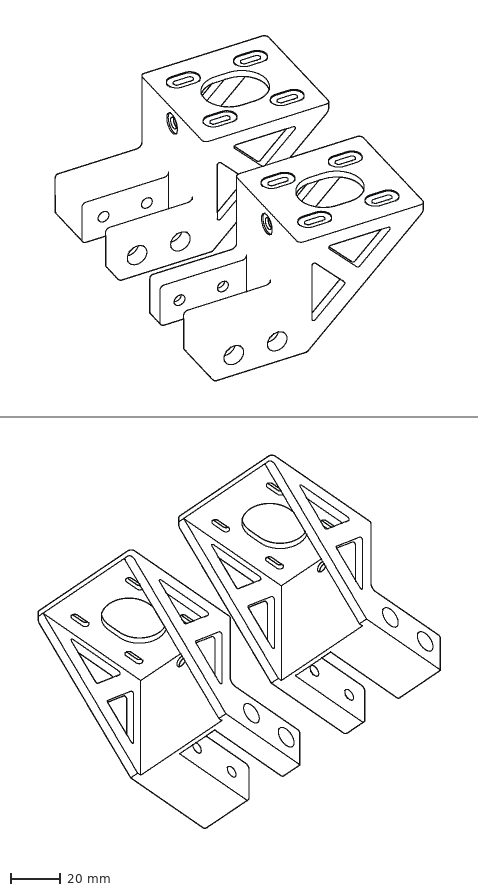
import cadquery as cq
import math

pair_width = 134.2
bracket_width = 54.2
height = 55.3
depth = 98.2

arm_length = 40.0
box_depth = depth - arm_length
plate_thickness = 3.0
front_wall = 2.0
side_wall = 4.0
window_margin = 6.0
slope_foot_y = 3.8

arm_height = 20.0
thick_arm = 24.2
arm_gap = 20.0
edge_radius = 2.0

band_width = 8.0
strut_shift = 0.7
window_radius = 1.0

slot_travel = 6.0
screw_slot_width = 3.0
head_slot_width = 8.5
head_slot_depth = 0.5
shaft_slot_width = 22.4
screw_spacing = 31.0

screw_diameter = 5.0
head_diameter = 9.0
arm_head_depth = 7.0
arm_hole_distances = (arm_length / 4, 3 * arm_length / 4)
arm_hole_z = arm_height / 2
thin_arm_hole_shift = 1.0
wall_hole_drop = 7.4
wall_head_depth = 0.7

mid_x = bracket_width / 2
gap_end = thick_arm + arm_gap
slope_angle = math.atan2(height - plate_thickness, box_depth - slope_foot_y)


def box(x0, x1, y0, y1, z0, z1):
    return cq.Workplane("XY").box(x1 - x0, y1 - y0, z1 - z0, centered=False).translate((x0, y0, z0))


def cylinder_x(x0, x1, y, z, diameter):
    return cq.Workplane("YZ", origin=(x0, y, z)).circle(diameter / 2).extrude(x1 - x0)


def cylinder_y(y0, y1, x, z, diameter):
    return cq.Workplane("XZ", origin=(x, y0, z)).circle(diameter / 2).extrude(y0 - y1)


def slot_z(x, y, width, z0, z1):
    """Slot elongated along Y, cut from z0 up to z1."""
    plane = cq.Workplane("XY", origin=(x, y, z0))
    return plane.slot2D(slot_travel + width, width, 90).extrude(z1 - z0)


def prism_x(points, x0, x1):
    """Extrude a (Y, Z) polygon from x0 to x1."""
    return cq.Workplane("YZ", origin=(x0, 0, 0)).polyline(points).close().extrude(x1 - x0)


def slope_y(z, inset):
    """Y on the line parallel to the sloped back, moved inward by inset."""
    return slope_foot_y + z / math.tan(slope_angle) - inset / math.sin(slope_angle)


def slope_z(y, inset):
    """Z on the line parallel to the sloped back, moved inward by inset."""
    return (y - slope_foot_y) * math.tan(slope_angle) + inset / math.cos(slope_angle)


def box_around(y0, y1, z0, z1):
    """Selector for edges centred in a Y and Z range, over the full width."""
    return cq.selectors.BoxSelector((-1.3, y0, z0), (bracket_width + 1.3, y1, z1))


def make_body():
    """Side profile across the full width, split into two arms and rounded."""
    profile = [
        (slope_foot_y, 0),
        (box_depth, height - plate_thickness),
        (box_depth, height),
        (0, height),
        (0, arm_height),
        (-arm_length, arm_height),
        (-arm_length, 0),
    ]
    body = prism_x(profile, 0, bracket_width)
    reach = 0.1
    arm_top_level = arm_height - reach, arm_height + reach
    body = body.edges(box_around(-reach, reach, *arm_top_level)).fillet(edge_radius)
    arm_top = box_around(-arm_length + reach, -edge_radius, *arm_top_level)
    side_edges = body.edges("|Z or %CIRCLE").add(body.edges(arm_top))
    rounded = side_edges.add(body.faces("<Y").edges("|X"))
    body = rounded.fillet(edge_radius)
    return body.cut(box(thick_arm, gap_end, -arm_length, 0, 0, height))


def window_triangle():
    """Triangle left in a side wall inside the borders and the slope band."""
    top = height - window_margin
    return [
        (window_margin, top),
        (slope_y(top, band_width), top),
        (window_margin, slope_z(window_margin, band_width)),
    ]


def cut_windows(body):
    """Two windows, parted by a strut running square to the slope from the inner corner."""
    window = prism_x(window_triangle(), 0, bracket_width)
    strut_y = window_margin + strut_shift * math.cos(slope_angle)
    strut_z = height - window_margin + strut_shift * math.sin(slope_angle)
    strut = (
        cq.Workplane("XY")
        .box(bracket_width, 2 * height, band_width)
        .rotate((0, 0, 0), (1, 0, 0), math.degrees(slope_angle) - 90)
        .translate((mid_x, strut_y, strut_z))
    )
    windows = window.cut(strut).edges("|X").fillet(window_radius)
    return body.cut(windows)


def cut_cavity(body):
    """Hollow between the side walls, open through the sloped back."""
    top = height - plate_thickness
    return body.cut(box(side_wall, bracket_width - side_wall, front_wall, box_depth, 0, top))


def cut_motor_mount(body):
    centre_y = box_depth / 2
    underside = height - plate_thickness
    body = body.cut(slot_z(mid_x, centre_y, shaft_slot_width, underside, height))
    for x_side in (-1, 1):
        for y_side in (-1, 1):
            x = mid_x + x_side * screw_spacing / 2
            y = centre_y + y_side * screw_spacing / 2
            body = body.cut(slot_z(x, y, screw_slot_width, underside, height))
            body = body.cut(slot_z(x, y, head_slot_width, height - head_slot_depth, height))
    return body


def cut_arm_holes(body):
    """Screw holes across both arms, counterbored from the outer sides."""
    thin_head_x = bracket_width - arm_head_depth
    for distance in arm_hole_distances:
        thick_y = -distance
        thin_y = -distance - thin_arm_hole_shift
        body = body.cut(cylinder_x(0, thick_arm, thick_y, arm_hole_z, screw_diameter))
        body = body.cut(cylinder_x(0, arm_head_depth, thick_y, arm_hole_z, head_diameter))
        body = body.cut(cylinder_x(gap_end, bracket_width, thin_y, arm_hole_z, screw_diameter))
        body = body.cut(cylinder_x(thin_head_x, bracket_width, thin_y, arm_hole_z, head_diameter))
    return body


def cut_wall_hole(body):
    z = height - wall_hole_drop
    body = body.cut(cylinder_y(0, front_wall, mid_x, z, screw_diameter))
    return body.cut(cylinder_y(0, wall_head_depth, mid_x, z, head_diameter))


def make_bracket():
    body = make_body()
    body = cut_cavity(body)
    body = cut_windows(body)
    body = cut_motor_mount(body)
    body = cut_arm_holes(body)
    return cut_wall_hole(body)


bracket = make_bracket()
left_bracket = bracket.translate((-pair_width / 2, 0, 0))
right_bracket = left_bracket.mirror("YZ")
result = cq.Compound.makeCompound([left_bracket.val(), right_bracket.val()])